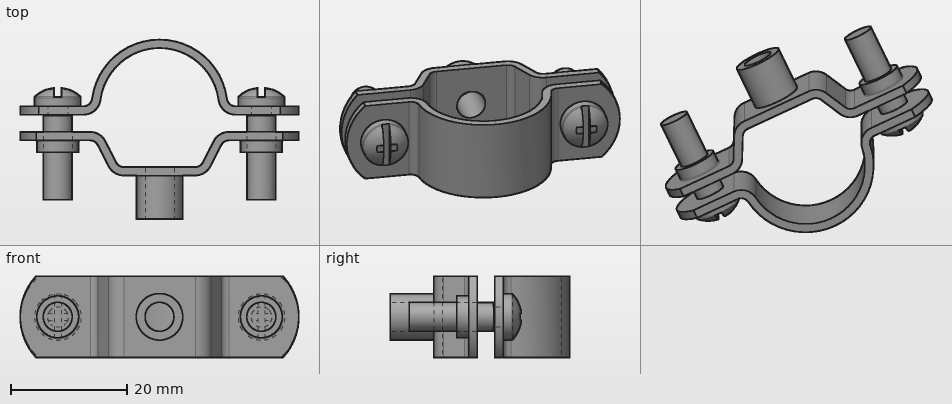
import cadquery as cq
import math


strip_width = 14.0
strip_thickness = 1.5
clamp_length = 47.95
half_length = clamp_length / 2
pipe_outer_radius = 11.7
pipe_inner_radius = pipe_outer_radius - strip_thickness
bend_inner_radius = 1.5
bend_outer_radius = bend_inner_radius + strip_thickness

upper_flange_bottom = -1.25
upper_flange_top = upper_flange_bottom + strip_thickness
upper_tip_radius = 9.2

flange_gap = 2.92
lower_flange_top = upper_flange_bottom - flange_gap
lower_flange_bottom = lower_flange_top - strip_thickness
trough_bottom = -pipe_outer_radius
trough_wall_angle = math.radians(63)
flange_bend_x = 11.95
lower_tip_radius = 10.25

socket_diameter = 8.0
socket_bore_diameter = 5.0
socket_length = 7.5

collar_diameter = 7.2
collar_length = 2.05
collar_root_radius = 0.12

screw_spacing = 35.0
screw_positions = [-screw_spacing / 2, screw_spacing / 2]
screw_diameter = 5.0
neck_diameter = 3.5
neck_clearance = 0.15
neck_length = strip_thickness + neck_clearance
screw_tip_y = -15.85
head_diameter = 8.0
head_rim_height = 1.6
head_dome_height = 1.65
head_edge_radius = 0.3
slot_width = 1.25
slot_depth = 1.65
cross_slot_depth = 0.3


def arc_point(center_x, center_y, radius, angle):
    """Point on a circle, at an angle counted from +X toward +Y."""
    return (center_x + radius * math.cos(angle), center_y + radius * math.sin(angle))


def rod(x, start_y, end_y, diameter):
    """Cylinder along -Y from start_y down to end_y, centred on Z = 0."""
    profile = cq.Workplane("XZ", origin=(x, start_y, 0)).circle(diameter / 2)
    return profile.extrude(start_y - end_y)


def strip_from_half(half_outline):
    """Extrude the +X half of a strip outline over the strip width and mirror it."""
    half = half_outline.extrude(strip_width / 2, both=True)
    return half.union(half.mirror("YZ"))


def round_flange_tips(strip, tip_radius):
    """Trim both ends of a strip to arcs that just touch the full clamp length."""
    sagitta = tip_radius - math.sqrt(tip_radius**2 - (strip_width / 2) ** 2)
    corner_x = half_length - sagitta
    half_width = strip_width / 2
    envelope = (
        cq.Workplane("XZ")
        .moveTo(-corner_x, -half_width)
        .lineTo(corner_x, -half_width)
        .threePointArc((half_length, 0), (corner_x, half_width))
        .lineTo(-corner_x, half_width)
        .threePointArc((-half_length, 0), (-corner_x, -half_width))
        .close()
        .extrude(clamp_length, both=True)
    )
    return strip.intersect(envelope)


def make_upper_clamp():
    bend_y = upper_flange_top + bend_inner_radius
    bend_x = math.sqrt((pipe_outer_radius + bend_inner_radius) ** 2 - bend_y**2)
    joint_angle = math.atan2(bend_y, bend_x)
    arch_mid_angle = (joint_angle + math.pi / 2) / 2
    bend_start_angle = joint_angle + math.pi
    bend_mid_angle = (bend_start_angle + 3 * math.pi / 2) / 2
    outline = (
        cq.Workplane("XY")
        .moveTo(0, pipe_outer_radius)
        .threePointArc(
            arc_point(0, 0, pipe_outer_radius, arch_mid_angle),
            arc_point(0, 0, pipe_outer_radius, joint_angle),
        )
        .threePointArc(
            arc_point(bend_x, bend_y, bend_inner_radius, bend_mid_angle),
            (bend_x, upper_flange_top),
        )
        .lineTo(half_length, upper_flange_top)
        .lineTo(half_length, upper_flange_bottom)
        .lineTo(bend_x, upper_flange_bottom)
        .threePointArc(
            arc_point(bend_x, bend_y, bend_outer_radius, bend_mid_angle),
            arc_point(bend_x, bend_y, bend_outer_radius, bend_start_angle),
        )
        .threePointArc(
            arc_point(0, 0, pipe_inner_radius, arch_mid_angle),
            (0, pipe_inner_radius),
        )
        .close()
    )
    clamp = round_flange_tips(strip_from_half(outline), upper_tip_radius)
    for x in screw_positions:
        clamp = clamp.cut(rod(x, upper_flange_top, upper_flange_bottom, neck_diameter))
    return clamp


def make_trough_strip():
    radius_sum = bend_inner_radius + bend_outer_radius
    drop = lower_flange_bottom - trough_bottom
    wall_length = (drop - radius_sum * (1 - math.cos(trough_wall_angle))) / math.sin(trough_wall_angle)
    floor_bend_x = (
        flange_bend_x
        - radius_sum * math.sin(trough_wall_angle)
        - wall_length * math.cos(trough_wall_angle)
    )
    flange_bend_y = lower_flange_bottom - bend_inner_radius
    floor_bend_y = trough_bottom + bend_outer_radius
    flange_wall_angle = math.pi / 2 + trough_wall_angle
    flange_mid_angle = math.pi / 2 + trough_wall_angle / 2
    floor_wall_angle = trough_wall_angle - math.pi / 2
    floor_mid_angle = trough_wall_angle / 2 - math.pi / 2

    def flange_bend(radius, angle):
        return arc_point(flange_bend_x, flange_bend_y, radius, angle)

    def floor_bend(radius, angle):
        return arc_point(floor_bend_x, floor_bend_y, radius, angle)

    outline = (
        cq.Workplane("XY")
        .moveTo(0, trough_bottom)
        .lineTo(floor_bend_x, trough_bottom)
        .threePointArc(
            floor_bend(bend_outer_radius, floor_mid_angle),
            floor_bend(bend_outer_radius, floor_wall_angle),
        )
        .lineTo(*flange_bend(bend_inner_radius, flange_wall_angle))
        .threePointArc(
            flange_bend(bend_inner_radius, flange_mid_angle),
            (flange_bend_x, lower_flange_bottom),
        )
        .lineTo(half_length, lower_flange_bottom)
        .lineTo(half_length, lower_flange_top)
        .lineTo(flange_bend_x, lower_flange_top)
        .threePointArc(
            flange_bend(bend_outer_radius, flange_mid_angle),
            flange_bend(bend_outer_radius, flange_wall_angle),
        )
        .lineTo(*floor_bend(bend_inner_radius, floor_wall_angle))
        .threePointArc(
            floor_bend(bend_inner_radius, floor_mid_angle),
            (floor_bend_x, trough_bottom + strip_thickness),
        )
        .lineTo(0, trough_bottom + strip_thickness)
        .close()
    )
    return round_flange_tips(strip_from_half(outline), lower_tip_radius)


def make_collar(x, end_y):
    radius = collar_diameter / 2
    root_center_x = radius + collar_root_radius
    root_center_y = lower_flange_bottom - collar_root_radius
    return (
        cq.Workplane("XY", origin=(x, 0, 0))
        .moveTo(0, end_y)
        .lineTo(radius, end_y)
        .lineTo(radius, root_center_y)
        .threePointArc(
            arc_point(root_center_x, root_center_y, collar_root_radius, 3 * math.pi / 4),
            (root_center_x, lower_flange_bottom),
        )
        .lineTo(0, lower_flange_bottom)
        .close()
        .revolve(360, (0, 0, 0), (0, 1, 0))
    )


def make_lower_clamp():
    clamp = make_trough_strip()

    socket_end = trough_bottom - socket_length
    clamp = clamp.union(rod(0, trough_bottom, socket_end, socket_diameter))
    clamp = clamp.cut(rod(0, trough_bottom + strip_thickness, socket_end, socket_bore_diameter))

    collar_end = lower_flange_bottom - collar_length
    for x in screw_positions:
        clamp = clamp.union(make_collar(x, collar_end))
        clamp = clamp.cut(rod(x, lower_flange_top, collar_end, screw_diameter))
    return clamp


def make_screw(x):
    rim_top = upper_flange_top + head_rim_height
    head_top = rim_top + head_dome_height
    head_radius = head_diameter / 2
    shank_radius = screw_diameter / 2
    shank_top = upper_flange_top - neck_length
    neck_radius = neck_diameter / 2
    dome_radius = (head_radius**2 + head_dome_height**2) / (2 * head_dome_height)
    dome_mid_angle = math.pi / 2 - math.asin(head_radius / dome_radius) / 2
    screw = (
        cq.Workplane("XY", origin=(x, 0, 0))
        .moveTo(0, screw_tip_y)
        .lineTo(shank_radius, screw_tip_y)
        .lineTo(shank_radius, shank_top)
        .lineTo(neck_radius, shank_top)
        .lineTo(neck_radius, upper_flange_top)
        .lineTo(head_radius, upper_flange_top)
        .lineTo(head_radius, rim_top)
        .threePointArc(
            arc_point(0, head_top - dome_radius, dome_radius, dome_mid_angle),
            (0, head_top),
        )
        .close()
        .revolve(360, (0, 0, 0), (0, 1, 0))
    )
    rim_edge = cq.selectors.NearestToPointSelector((x, rim_top, 0))
    screw = screw.edges("%CIRCLE").edges(rim_edge).fillet(head_edge_radius)

    slot = (
        cq.Workplane("XY", origin=(x, head_top - slot_depth / 2, 0))
        .box(slot_width, slot_depth, head_diameter)
    )
    cross_slot = (
        cq.Workplane("XY", origin=(x, head_top - cross_slot_depth / 2, 0))
        .box(head_diameter, cross_slot_depth, slot_width)
    )
    return screw.cut(slot).cut(cross_slot)


upper_clamp = make_upper_clamp()
lower_clamp = make_lower_clamp()
screws = [make_screw(x) for x in screw_positions]

result = cq.Compound.makeCompound(
    [upper_clamp.val(), lower_clamp.val(), *[screw.val() for screw in screws]]
)